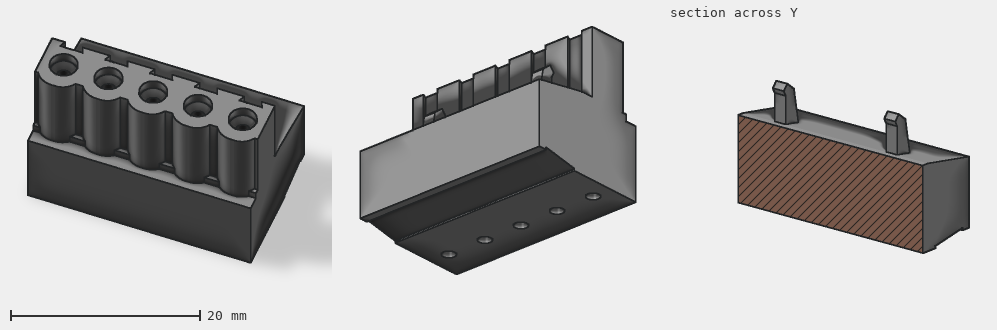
import cadquery as cq
import math


length = 25.3
depth = 15.33
height = 18.15

terminal_count = 5
pitch = 5.08
terminal_y = 4.0

shoulder_z = 9.0
deck_z = 9.85
deck_back_y = 8.5
back_top_z = 8.75
ledge_front_y = 1.5
foot_z = 0.78
foot_depth = 1.05
relief_z = 1.05
relief_front_y = 9.75
relief_front_z = 0.25

tower_back_y = 6.95
tower_front_y = 2.02
lobe_front_y = 0.95
lobe_flat = 0.45
lobe_width = 4.25

groove_depth = 0.68
groove_mouth = 1.97
groove_floor = 2.58

screw_diameter = 3.0
screw_depth = 1.16
through_diameter = 1.6
cone_angle = 90.0

latch_width = 1.52
latch_spacing = 3 * pitch
latch_front_y = 8.55
latch_root_y = 10.65
latch_neck_z = 13.02
latch_barb = (8.25, 13.63)
latch_tip = (8.83, 14.31)
latch_shoulder = (9.95, 13.45)

terminal_x = [(i - (terminal_count - 1) / 2) * pitch for i in range(terminal_count)]


def side_prism(points, width, center_x=0.0):
    """Extrude a closed (Y, Z) outline along X, centred on center_x."""
    return (
        cq.Workplane("YZ", origin=(center_x, 0, 0))
        .polyline(points)
        .close()
        .extrude(width / 2, both=True)
    )


def make_base():
    outline = [
        (0, 0),
        (0, shoulder_z),
        (ledge_front_y, shoulder_z),
        (ledge_front_y, deck_z),
        (deck_back_y, deck_z),
        (depth, back_top_z),
        (depth, foot_z),
        (depth - foot_depth, foot_z),
        (depth - foot_depth, relief_z),
        (relief_front_y, relief_front_z),
        (relief_front_y, 0),
    ]
    return side_prism(outline, length)


def make_tower():
    """Upright wall with one rounded lobe per terminal along its front."""
    arc_run = (lobe_width - lobe_flat) / 2
    arc_rise = tower_front_y - lobe_front_y
    radius = (arc_run**2 + arc_rise**2) / (2 * arc_rise)
    half_sweep = math.asin(arc_run / radius) / 2
    mid_x = lobe_flat / 2 + radius * math.sin(half_sweep)
    mid_y = lobe_front_y + radius * (1 - math.cos(half_sweep))

    outline = cq.Workplane("XY", origin=(0, 0, shoulder_z))
    outline = outline.moveTo(-length / 2, tower_back_y).lineTo(-length / 2, tower_front_y)
    for x in terminal_x:
        outline = (
            outline.lineTo(x - lobe_width / 2, tower_front_y)
            .threePointArc((x - mid_x, mid_y), (x - lobe_flat / 2, lobe_front_y))
            .lineTo(x + lobe_flat / 2, lobe_front_y)
            .threePointArc((x + mid_x, mid_y), (x + lobe_width / 2, tower_front_y))
        )
    outline = outline.lineTo(length / 2, tower_front_y).lineTo(length / 2, tower_back_y)
    return outline.close().extrude(height - shoulder_z)


def make_groove(x):
    """Dovetail groove cutter, wider at its floor, from the deck to the tower top."""
    floor_y = tower_back_y - groove_depth
    outline = [
        (x - groove_mouth / 2, tower_back_y),
        (x - groove_floor / 2, floor_y),
        (x + groove_floor / 2, floor_y),
        (x + groove_mouth / 2, tower_back_y),
    ]
    return cq.Workplane("XY", origin=(0, 0, deck_z)).polyline(outline).close().extrude(height - deck_z)


def make_screw_hole(x):
    """Stepped through-hole cutter: straight bore, cone, then a narrow bore."""
    bore_radius = screw_diameter / 2
    through_radius = through_diameter / 2
    cone_top_z = height - screw_depth
    cone_depth = (bore_radius - through_radius) / math.tan(math.radians(cone_angle / 2))
    half_section = [
        (0, 0),
        (through_radius, 0),
        (through_radius, cone_top_z - cone_depth),
        (bore_radius, cone_top_z),
        (bore_radius, height),
        (0, height),
    ]
    return (
        cq.Workplane("XZ", origin=(x, terminal_y, 0))
        .polyline(half_section)
        .close()
        .revolve(360, (0, 0, 0), (0, 1, 0))
    )


def make_latch(x):
    """Barbed hook whose root sinks into the sloping deck."""
    deck_slope = (deck_z - back_top_z) / (depth - deck_back_y)
    root_z = deck_z - deck_slope * (latch_root_y - deck_back_y)
    outline = [
        (latch_front_y, back_top_z),
        (latch_front_y, latch_neck_z),
        latch_barb,
        latch_tip,
        latch_shoulder,
        (latch_root_y, root_z),
        (latch_root_y, back_top_z),
    ]
    return side_prism(outline, latch_width, x)


result = make_base().union(make_tower())
for x in terminal_x:
    result = result.cut(make_groove(x)).cut(make_screw_hole(x))
for x in (-latch_spacing / 2, latch_spacing / 2):
    result = result.union(make_latch(x))